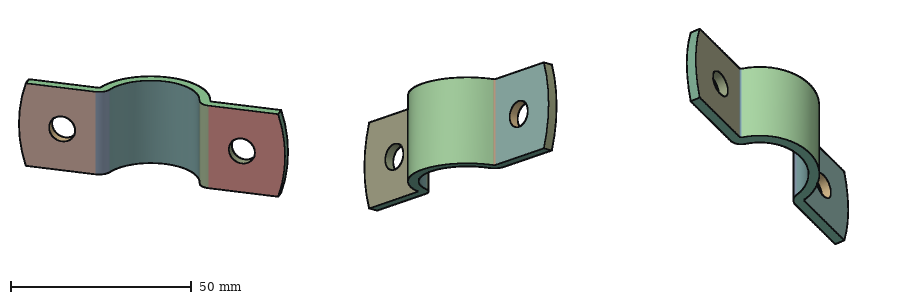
import cadquery as cq
import math

length = 77.02
depth = 15.44
width = 25.0
thickness = 3.0
saddle_inner_radius = 13.5
bend_inner_radius = 0.5
end_radius = 40.0
hole_diameter = 7.5
hole_spacing = 52.0

saddle_outer_radius = saddle_inner_radius + thickness
bend_outer_radius = bend_inner_radius + thickness
saddle_center_y = depth - saddle_outer_radius
bend_center_y = bend_outer_radius
center_distance = saddle_outer_radius + bend_inner_radius
bend_center_x = math.sqrt(center_distance**2 - (bend_center_y - saddle_center_y) ** 2)
tangent_angle = math.atan2(bend_center_y - saddle_center_y, bend_center_x)
half_length = length / 2


def saddle_point(radius, angle):
    """Point on a saddle circle at an angle above +X."""
    return radius * math.cos(angle), saddle_center_y + radius * math.sin(angle)


def bend_point(radius, angle):
    """Point on a circle about the right bend centre at an angle above +X."""
    return bend_center_x + radius * math.cos(angle), bend_center_y + radius * math.sin(angle)


def mirrored(point):
    """Reflect a point across the YZ plane."""
    return -point[0], point[1]


def make_strip():
    """Bent strip with square ends, extruded symmetrically along Z."""
    downward = -math.pi / 2
    toward_saddle = tangent_angle - math.pi
    bend_middle = (downward + toward_saddle) / 2
    inner_tangent = saddle_point(saddle_inner_radius, tangent_angle)
    outer_tangent = saddle_point(saddle_outer_radius, tangent_angle)
    front_bend_start = (bend_center_x, 0)
    rear_bend_start = (bend_center_x, thickness)
    front_bend_middle = bend_point(bend_outer_radius, bend_middle)
    rear_bend_middle = bend_point(bend_inner_radius, bend_middle)
    inner_crown = (0, depth - thickness)
    outer_crown = (0, depth)

    profile = (
        cq.Workplane("XY")
        .workplane(offset=-width / 2)
        .moveTo(-half_length, 0)
        .lineTo(*mirrored(front_bend_start))
        .threePointArc(mirrored(front_bend_middle), mirrored(inner_tangent))
        .threePointArc(inner_crown, inner_tangent)
        .threePointArc(front_bend_middle, front_bend_start)
        .lineTo(half_length, 0)
        .lineTo(half_length, thickness)
        .lineTo(*rear_bend_start)
        .threePointArc(rear_bend_middle, outer_tangent)
        .threePointArc(outer_crown, mirrored(outer_tangent))
        .threePointArc(mirrored(rear_bend_middle), mirrored(rear_bend_start))
        .lineTo(-half_length, thickness)
        .close()
    )
    return profile.extrude(width)


def make_end_envelope():
    """Block with arced ends that trims the flanges to their rounded outline."""
    half_width = width / 2
    end_sagitta = end_radius - math.sqrt(end_radius**2 - half_width**2)
    corner_x = half_length - end_sagitta
    return (
        cq.Workplane("XZ")
        .moveTo(-corner_x, -half_width)
        .lineTo(corner_x, -half_width)
        .threePointArc((half_length, 0), (corner_x, half_width))
        .lineTo(-corner_x, half_width)
        .threePointArc((-half_length, 0), (-corner_x, -half_width))
        .close()
        .extrude(-depth)
    )


def make_hole_cutters():
    """One cylinder through each flange."""
    return (
        cq.Workplane("XZ")
        .pushPoints([(-hole_spacing / 2, 0), (hole_spacing / 2, 0)])
        .circle(hole_diameter / 2)
        .extrude(-thickness)
    )


result = make_strip().intersect(make_end_envelope()).cut(make_hole_cutters())